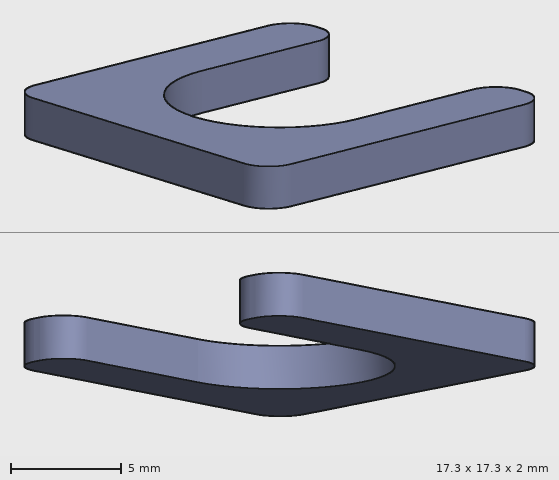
import cadquery as cq

side = 17.27
thickness = 2.0
slot_width = 10.5
corner_radius = 1.5

plate = cq.Workplane("XY").box(side, side, thickness)

slot_radius = slot_width / 2
half_side = side / 2
slot = (
    cq.Workplane("XY")
    .moveTo(-slot_radius, half_side)
    .lineTo(-slot_radius, 0)
    .threePointArc((0, -slot_radius), (slot_radius, 0))
    .lineTo(slot_radius, half_side)
    .close()
    .extrude(thickness / 2, both=True)
)

horseshoe = plate.cut(slot)
base_corners = horseshoe.faces("<Y").edges("|Z")
tip_corners = horseshoe.faces(">Y").edges("|Z")
result = horseshoe.newObject(base_corners.vals() + tip_corners.vals()).fillet(corner_radius)